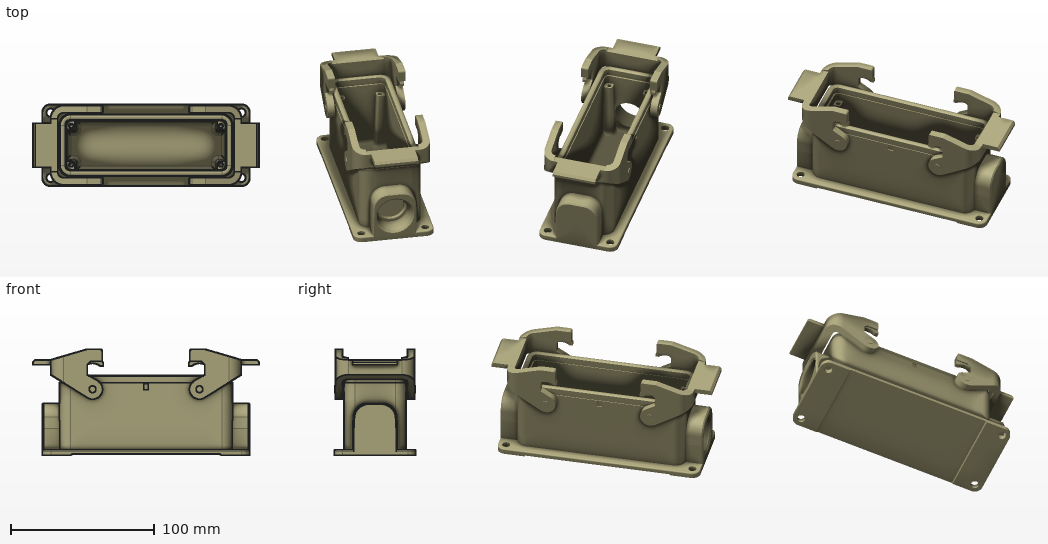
import cadquery as cq
import math

flange_length = 144.5
flange_width = 57.0
flange_top = 4.0
flange_corner_radius = 5.8
flange_edge_round = 1.0
screw_hole_diameter = 5.7
foot_height = 0.8
foot_inner_x = 52.3

body_length = 120.5
body_width = 43.5
body_corner_radius = 7.7
shoulder_z = 50.4
floor_z = 4.0
cavity_length = 110.2
cavity_width = 34.3
cavity_corner_radius = 2.8
cavity_floor_fillet = 2.8

rim_step = 0.5
rim_top = 55.7
rim_crown = 0.6
rim_inner_width = 35.3
rim_thickness = body_width / 2 - rim_step - rim_inner_width / 2

notch_width = 3.5
notch_bottom = 45.5
notch_top = 49.9
notch_depth = 0.6

entry_half_width = 15.6
entry_top = 36.4
entry_flank_z = 18.9
entry_flank_inset = 1.0
entry_top_round = 10.2
entry_edge_round = 1.0
entry_axis_z = 18.7
entry_bore_diameter = 25.0
entry_mouth_diameter = 27.4
entry_wall_hole_diameter = 21.0
entry_bore_depth = 14.2
entry_overrun = 3.1

post_x = 52.1
post_y = 13.5
post_reach = 2.4
post_top = 44.0
post_taper = 2.2
post_corner_radius = 1.9
post_hole_diameter = 3.0
post_hole_depth = 6.3
post_hole_tip_angle = 90

pivot_x = 37.1
pivot_z = 46.0
lever_half_width = 27.5
lever_back_x = 66.5
lever_corner_radius = 9.0
lever_thickness = 5.0
eye_radius = 7.0
back_top_z = 66.5
back_bottom_z = 56.0
hook_top_z = 73.8
hook_slope_x = 41.2
hook_tip_x = 30.4
hook_tip_round = 1.5
notch_roof_z = 65.5
throat_x = 40.8
throat_corner = 2.4
throat_bottom_z = 56.0

nub_tip_x = 29.6
nub_tip_z = 62.0
nub_thickness = 2.8

pad_tip_x = 78.7
pad_thickness = 3.5
pad_half_width = 15.5
pad_tip_bevel = 1.5

pin_diameter = 4.0
spacer_diameter = 5.0
pin_head_diameter = 4.7
pin_head_height = 0.5


def rounded_block(length, width, radius, bottom, top):
    """Upright block centred on the Z axis, with rounded vertical corners."""
    block = cq.Workplane("XY").workplane(offset=bottom).rect(length, width).extrude(top - bottom)
    return block.edges("|Z").fillet(radius)


def make_flange():
    flange = rounded_block(flange_length, flange_width, flange_corner_radius, 0, flange_top)
    return flange.faces(">Z").edges().fillet(flange_edge_round)


def make_rim():
    """Wall with a crowned top, swept around the opening."""
    half_length = (body_length - rim_thickness) / 2 - rim_step
    half_width = (body_width - rim_thickness) / 2 - rim_step
    start = cq.Vector(0, -half_width, shoulder_z)
    corners = [
        cq.Vector(x * half_length, y * half_width, shoulder_z)
        for x, y in ((1, -1), (1, 1), (-1, 1), (-1, -1))
    ]
    loop = cq.Wire.makePolygon([start, *corners], close=True)
    corner_vertices = [vertex for vertex in loop.Vertices() if abs(vertex.X) > half_length / 2]
    path = loop.fillet2D(body_corner_radius - rim_step - rim_thickness / 2, corner_vertices)

    outer = -half_width - rim_thickness / 2
    inner = -half_width + rim_thickness / 2
    crown_base = rim_top - rim_crown
    return (
        cq.Workplane("YZ")
        .moveTo(outer, shoulder_z)
        .lineTo(inner, shoulder_z)
        .lineTo(inner, crown_base)
        .threePointArc((-half_width, rim_top), (outer, crown_base))
        .close()
        .sweep(cq.Workplane(path))
    )


def make_entry(side):
    """Arched boss from the body wall to the end of the flange."""
    shoulder = entry_half_width - entry_flank_inset
    outline = [
        (-entry_half_width, 0),
        (entry_half_width, 0),
        (entry_half_width, entry_flank_z),
        (shoulder, entry_top),
        (-shoulder, entry_top),
        (-entry_half_width, entry_flank_z),
    ]
    boss = cq.Workplane("YZ").polyline(outline).close().extrude(side * flange_length / 2)
    boss = boss.edges("|X and >Z").fillet(entry_top_round)
    end_face = boss.faces(">X" if side > 0 else "<X")
    above_flange = cq.selectors.BoxSelector(
        (-flange_length, -2 * entry_half_width, flange_top + foot_height),
        (flange_length, 2 * entry_half_width, 2 * entry_top),
    )
    return end_face.edges("not <Z").edges(above_flange).chamfer(entry_edge_round)


def make_cavity():
    return rounded_block(cavity_length, cavity_width, cavity_corner_radius, floor_z, shoulder_z)


def make_post(x_side, y_side):
    """Drafted screw post, run into the two cavity walls beside it."""
    height = post_top - floor_z
    draft = height * math.tan(math.radians(post_taper))
    inner_x = post_x - post_reach - draft
    inner_y = post_y - post_reach - draft
    outer_x = body_length / 2
    outer_y = body_width / 2
    post = (
        cq.Workplane("XY")
        .workplane(offset=floor_z)
        .center(x_side * (inner_x + outer_x) / 2, y_side * (inner_y + outer_y) / 2)
        .rect(outer_x - inner_x, outer_y - inner_y)
        .extrude(height, taper=post_taper)
    )
    inner_corner = cq.selectors.NearestToPointSelector(
        (x_side * inner_x, y_side * inner_y, (post_top + floor_z) / 2)
    )
    return post.edges("not #Z").edges(inner_corner).fillet(post_corner_radius)


def make_post_hole(x_side, y_side):
    """Blind hole with a conical end, pointing down from the top of a post."""
    radius = post_hole_diameter / 2
    tip_depth = radius / math.tan(math.radians(post_hole_tip_angle / 2))
    return (
        cq.Workplane("XZ", origin=(x_side * post_x, y_side * post_y, post_top))
        .polyline([
            (0, 0),
            (radius, 0),
            (radius, -post_hole_depth),
            (0, -post_hole_depth - tip_depth),
        ])
        .close()
        .revolve(360, (0, 0), (0, 1))
    )


def make_entry_bore():
    """Stepped cable bore through the -X boss and body wall, with a chamfered mouth."""
    end_x = -flange_length / 2
    mouth_depth = (entry_mouth_diameter - entry_bore_diameter) / 2
    wall_hole_depth = (flange_length - cavity_length) / 2 + entry_overrun
    axis = cq.Workplane("YZ", origin=(end_x, 0, entry_axis_z))
    bore = axis.circle(entry_bore_diameter / 2).extrude(entry_bore_depth)
    wall_hole = axis.circle(entry_wall_hole_diameter / 2).extrude(wall_hole_depth)
    mouth = cq.Solid.makeCone(
        entry_mouth_diameter / 2, entry_bore_diameter / 2, mouth_depth,
        cq.Vector(end_x, 0, entry_axis_z), cq.Vector(1, 0, 0),
    )
    return bore.union(wall_hole).union(cq.Workplane(mouth))


def make_housing():
    corners = [(x, y) for x in (-1, 1) for y in (-1, 1)]
    body = rounded_block(body_length, body_width, body_corner_radius, 0, shoulder_z)
    housing = body.union(make_flange())
    for side in (-1, 1):
        housing = housing.union(make_entry(side))

    cavity = make_cavity()
    for x_side, y_side in corners:
        cavity = cavity.cut(make_post(x_side, y_side))
    cavity = cavity.faces("<Z").edges().fillet(cavity_floor_fillet)
    housing = housing.cut(cavity).union(make_rim())

    for x_side, y_side in corners:
        housing = housing.cut(make_post_hole(x_side, y_side))
    housing = housing.cut(make_entry_bore())

    screw_x = flange_length / 2 - flange_corner_radius
    screw_y = flange_width / 2 - flange_corner_radius
    screw_holes = (
        cq.Workplane("XY")
        .rect(2 * screw_x, 2 * screw_y, forConstruction=True)
        .vertices()
        .circle(screw_hole_diameter / 2)
        .extrude(flange_top)
    )
    housing = housing.cut(screw_holes)

    underside = (
        cq.Workplane("XZ")
        .polyline([
            (-foot_inner_x, 0),
            (foot_inner_x, 0),
            (foot_inner_x - foot_height, foot_height),
            (foot_height - foot_inner_x, foot_height),
        ])
        .close()
        .extrude(flange_width / 2, both=True)
    )
    housing = housing.cut(underside)

    notch_height = notch_top - notch_bottom
    for side in (-1, 1):
        notch = cq.Workplane("XY").box(notch_width, 2 * notch_depth, notch_height)
        notch = notch.translate((0, side * body_width / 2, (notch_bottom + notch_top) / 2))
        housing = housing.cut(notch)

    pin_holes = (
        cq.Workplane("XZ")
        .pushPoints([(-pivot_x, pivot_z), (pivot_x, pivot_z)])
        .circle(pin_diameter / 2)
        .extrude(body_width / 2, both=True)
    )
    return housing.cut(pin_holes)


def tangent_point(from_x, from_z, turn):
    """Point where a line from outside touches the round pivot eye; turn picks the side."""
    dx = from_x + pivot_x
    dz = from_z - pivot_z
    angle = math.atan2(dz, dx) + turn * math.acos(eye_radius / math.hypot(dx, dz))
    return (-pivot_x + eye_radius * math.cos(angle), pivot_z + eye_radius * math.sin(angle))


def make_lever_side_profile():
    """Side outline of the arms: eye, hook and slope down to the back wall."""
    lower_touch = tangent_point(-lever_back_x, back_bottom_z, 1)
    upper_touch = tangent_point(-throat_x, throat_bottom_z, -1)
    return (
        cq.Workplane("XZ")
        .moveTo(-lever_back_x, back_bottom_z)
        .lineTo(-lever_back_x, back_top_z)
        .lineTo(-hook_slope_x, hook_top_z)
        .lineTo(-hook_tip_x, hook_top_z)
        .lineTo(-hook_tip_x, notch_roof_z)
        .lineTo(throat_corner - throat_x, notch_roof_z)
        .lineTo(-throat_x, notch_roof_z - throat_corner)
        .lineTo(-throat_x, throat_bottom_z)
        .lineTo(*upper_touch)
        .threePointArc((eye_radius - pivot_x, pivot_z), lower_touch)
        .close()
        .extrude(lever_half_width, both=True)
        .edges("|Y and >Z and >X")
        .fillet(hook_tip_round)
    )


def make_lever_plan(inset):
    """Rounded plan of the lever, offset inwards by the inset."""
    half_width = lever_half_width - inset
    length = 2 * (lever_back_x - inset)
    return rounded_block(length, 2 * half_width, lever_corner_radius - inset, 0, hook_top_z)


def make_bracket():
    """Two arms joined by a back wall whose top is level with the pad."""
    plan = make_lever_plan(0).cut(make_lever_plan(lever_thickness))
    bracket = make_lever_side_profile().intersect(plan)
    flat_back = cq.Workplane("XY", origin=(-lever_back_x, 0, back_top_z)).box(
        2 * lever_thickness,
        2 * (lever_half_width - lever_corner_radius),
        hook_top_z - back_top_z,
        centered=(True, True, False),
    )
    return bracket.cut(flat_back)


def make_nub(side):
    """Rounded catch hanging from the hook roof at mid thickness of an arm."""
    middle = side * (lever_half_width - lever_thickness / 2)
    nub_root_z = notch_roof_z - hook_tip_round
    return (
        cq.Workplane("XZ", origin=(0, middle, 0))
        .moveTo(-hook_tip_x, notch_roof_z)
        .lineTo(-nub_tip_x, nub_root_z)
        .lineTo(-nub_tip_x, nub_tip_z)
        .lineTo(-hook_tip_x - hook_tip_round, nub_tip_z)
        .threePointArc((-pivot_x, nub_root_z), (-throat_x, notch_roof_z - throat_corner))
        .lineTo(throat_corner - throat_x, notch_roof_z)
        .close()
        .extrude(nub_thickness / 2, both=True)
    )


def make_pad():
    """Flat thumb pad behind the back wall, bevelled along its tip."""
    length = pad_tip_x - lever_back_x + lever_thickness / 2
    pad = cq.Workplane("XY", origin=(-pad_tip_x, 0, back_top_z - pad_thickness)).box(
        length, 2 * pad_half_width, pad_thickness, centered=(False, True, False)
    )
    return pad.edges("<X and >Z").chamfer(pad_tip_bevel)


def make_pin(side):
    """Pivot pin: headed outside the arm, with a spacer collar, ending flush inside the cavity."""
    def cylinder(diameter, near_y, far_y):
        return cq.Workplane(cq.Solid.makeCylinder(
            diameter / 2, far_y - near_y,
            cq.Vector(-pivot_x, side * near_y, pivot_z), cq.Vector(0, side, 0),
        ))

    head_end = lever_half_width + pin_head_height
    shank = cylinder(pin_diameter, cavity_width / 2, head_end)
    spacer = cylinder(spacer_diameter, body_width / 2, lever_half_width)
    head = cylinder(pin_head_diameter, lever_half_width, head_end)
    return shank.union(spacer).union(head)


def make_lever():
    lever = make_bracket().union(make_pad())
    for side in (-1, 1):
        lever = lever.union(make_nub(side)).union(make_pin(side))
    return lever


housing = make_housing()
left_lever = make_lever()
levers = [left_lever.rotate((0, 0, 0), (0, 0, 1), turn).val() for turn in (0, 180)]

result = cq.Compound.makeCompound([housing.val(), *levers])